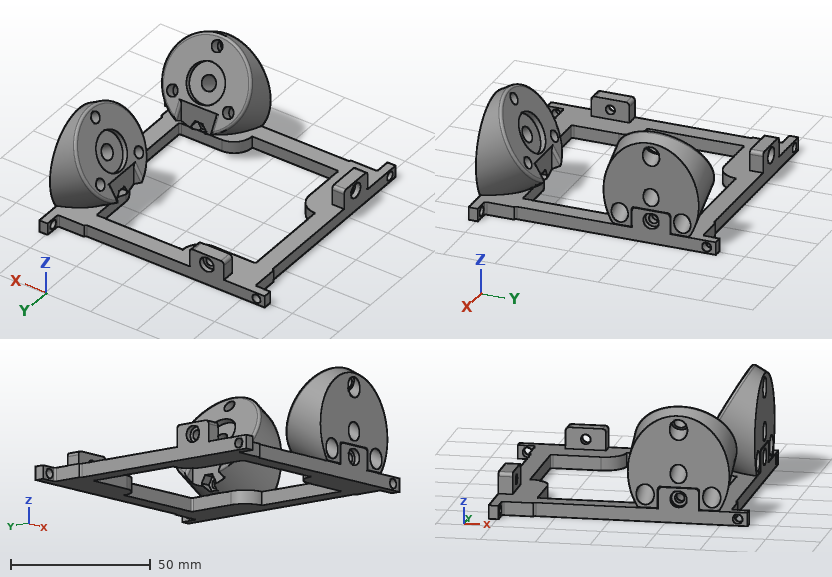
import cadquery as cq
import math

SPAN = 100.0
FRAME_HEIGHT = 5.0
SIDE = 42.86
BAR_WIDTH = 7.14
STEP = 0.71
TAB_THICKNESS = 3.57
TAB_HOLE_DIAMETER = 3.5
PAD_WIDTH = 15.0
PAD_END = 9.55
CORNER_FILLET = 0.7
TIP = SPAN / 2
INNER_SIDE = SIDE - BAR_WIDTH
PAD_SIDE = SIDE - PAD_WIDTH
PAD_RADIUS = PAD_WIDTH - BAR_WIDTH
TAB_HOLE_OFFSET = TIP - TAB_THICKNESS

EAR_OFFSET = 24.9
EAR_WIDTH = 14.8
EAR_THICKNESS = 5.2
EAR_TOP = 12.9
EAR_FILLET = 1.4
BOLT_HEIGHT = 8.75
BOLT_DIAMETER = 3.5
BOLT_HEAD_DIAMETER = 6.0
BOLT_HEAD_DEPTH = 2.2

WEDGE_DIAMETER = 37.0
WEDGE_TILT = 30.0
FACE_DISTANCE = 14.05
FACE_HEIGHT = 26.2
RIM_FILLET = 1.0
WEDGE_GAP = 0.25
RECESS_DIAMETER = 16.0
RECESS_DEPTH = 2.2
CENTRE_HOLE_DIAMETER = 6.0
SCREW_CIRCLE_RADIUS = 14.0
SCREW_COUNT = 3
FIRST_SCREW_ANGLE = 90
SCREW_DIAMETER = 4.5
SCREW_HEAD_DIAMETER = 6.5
SCREW_SEAT_DEPTH = 4.5
NOTCH_WIDTH = 15.0
NOTCH_DISTANCE = 18.55
NUT_CORNERS = 6.5
NUT_SIDES = 6
NUT_DEPTH = 4.0
BIG = 80.0

QUARTER_TURNS = (0, 90, 180, 270)
WEDGE_TURNS = (0, 90)


def rotate_point(point, degrees):
    angle = math.radians(degrees)
    x, y = point
    return (x * math.cos(angle) - y * math.sin(angle), x * math.sin(angle) + y * math.cos(angle))


def round_corners(prism, corners):
    """Fillet the vertical edges at the given corners and at their quarter-turn copies."""
    for turn in QUARTER_TURNS:
        for corner in corners:
            x, y = rotate_point(corner, turn)
            edge = cq.selectors.NearestToPointSelector((x, y, FRAME_HEIGHT / 2))
            prism = prism.edges("|Z").edges(edge).fillet(CORNER_FILLET)
    return prism


def make_outer_prism():
    tab_corner = (-SIDE - STEP, SIDE - TAB_THICKNESS)
    step_corner = (-SIDE, PAD_SIDE)
    corner = [
        (-TIP, SIDE),
        (-TIP, SIDE - TAB_THICKNESS),
        tab_corner,
        (-SIDE - STEP, PAD_SIDE),
        step_corner,
    ]
    points = [rotate_point(p, turn) for turn in QUARTER_TURNS for p in corner]
    prism = cq.Workplane("XY").polyline(points).close().extrude(FRAME_HEIGHT)
    return round_corners(prism, (tab_corner, step_corner))


def make_opening():
    pad_corner = (-INNER_SIDE, PAD_SIDE)
    arc_start = (-PAD_END - PAD_RADIUS, PAD_SIDE)
    arc_reach = PAD_RADIUS * math.sin(math.radians(45))
    arc_middle = (arc_start[0] + arc_reach, INNER_SIDE - arc_reach)
    arc_end = (-PAD_END, INNER_SIDE)
    outline = cq.Workplane("XY").moveTo(-INNER_SIDE, -PAD_END)
    for turn in QUARTER_TURNS:
        outline = outline.lineTo(*rotate_point(pad_corner, -turn))
        outline = outline.lineTo(*rotate_point(arc_start, -turn))
        outline = outline.threePointArc(rotate_point(arc_middle, -turn), rotate_point(arc_end, -turn))
    return round_corners(outline.close().extrude(FRAME_HEIGHT), (pad_corner,))


def bore(x, y, z, diameter, length):
    """Cylinder along +Y starting at the given point."""
    return cq.Workplane(cq.Solid.makeCylinder(diameter / 2, length, cq.Vector(x, y, z), cq.Vector(0, 1, 0)))


def turned(shape, degrees):
    return shape.rotate((0, 0, 0), (0, 0, 1), degrees)


def make_ear():
    ear = cq.Workplane("XY").box(EAR_WIDTH, EAR_THICKNESS, EAR_TOP, centered=(True, False, False))
    ear = ear.edges("|Y and >Z").fillet(EAR_FILLET)
    return ear.translate((EAR_OFFSET, -SIDE, 0))


def make_side_holes():
    holes = bore(EAR_OFFSET, -SIDE, BOLT_HEIGHT, BOLT_DIAMETER, EAR_THICKNESS)
    holes = holes.union(bore(EAR_OFFSET, -SIDE, BOLT_HEIGHT, BOLT_HEAD_DIAMETER, BOLT_HEAD_DEPTH))
    return holes.union(bore(TAB_HOLE_OFFSET, -SIDE, FRAME_HEIGHT / 2, TAB_HOLE_DIAMETER, TAB_THICKNESS))


def make_frame():
    frame = make_outer_prism().cut(make_opening())
    for turn in QUARTER_TURNS:
        frame = frame.union(turned(make_ear(), turn))
    for turn in QUARTER_TURNS:
        frame = frame.cut(turned(make_side_holes(), turn))
    return frame


FACE_CENTRE = (EAR_OFFSET, -SIDE + FACE_DISTANCE, FACE_HEIGHT)
FACE_NORMAL = (0, math.cos(math.radians(WEDGE_TILT)), math.sin(math.radians(WEDGE_TILT)))


def face_plane():
    """Plane on the tilted face: local Y runs up the face, local Z outward."""
    return cq.Workplane(cq.Plane(FACE_CENTRE, (-1, 0, 0), FACE_NORMAL))


def notch():
    """Slot across the lower rim, down to a vertical wall."""
    slot = cq.Workplane("XY").box(NOTCH_WIDTH, BIG, BIG, centered=(True, False, False))
    return slot.translate((EAR_OFFSET, -SIDE + NOTCH_DISTANCE, 0))


def wedge_blank():
    """Notched cylinder with a rounded rim, trimmed by the back face and the gap above the frame."""
    normal = cq.Vector(*FACE_NORMAL)
    blank = face_plane().circle(WEDGE_DIAMETER / 2).extrude(-BIG).cut(notch())
    rim_edges = blank.faces(cq.selectors.DirectionMinMaxSelector(normal)).edges("not |X")
    notch_corner_edges = blank.edges(cq.selectors.ParallelDirSelector(normal)).edges("<Z")
    blank = blank.newObject(rim_edges.vals() + notch_corner_edges.vals()).fillet(RIM_FILLET)
    keep = cq.Workplane("XY").box(BIG, BIG, BIG, centered=(True, False, False))
    return blank.intersect(keep.translate((EAR_OFFSET, -SIDE, FRAME_HEIGHT + WEDGE_GAP)))


def face_holes():
    screws = face_plane().polarArray(SCREW_CIRCLE_RADIUS, FIRST_SCREW_ANGLE, 360, SCREW_COUNT)
    holes = screws.circle(SCREW_DIAMETER / 2).extrude(-BIG)
    heads = face_plane().workplane(offset=-SCREW_SEAT_DEPTH)
    heads = heads.polarArray(SCREW_CIRCLE_RADIUS, FIRST_SCREW_ANGLE, 360, SCREW_COUNT)
    holes = holes.union(heads.circle(SCREW_HEAD_DIAMETER / 2).extrude(-BIG))
    holes = holes.union(face_plane().circle(CENTRE_HOLE_DIAMETER / 2).extrude(-BIG))
    return holes.union(face_plane().circle(RECESS_DIAMETER / 2).extrude(-RECESS_DEPTH))


def ear_pocket():
    width = EAR_WIDTH + 2 * WEDGE_GAP
    pocket = cq.Workplane("XY").box(width, EAR_THICKNESS, EAR_TOP + WEDGE_GAP, centered=(True, False, False))
    pocket = pocket.edges("|Y and >Z").fillet(EAR_FILLET)
    return pocket.translate((EAR_OFFSET, -SIDE, 0))


def bolt_and_nut():
    bolt = bore(EAR_OFFSET, -SIDE, BOLT_HEIGHT, BOLT_DIAMETER, BIG)
    nut = cq.Workplane("XZ").polygon(NUT_SIDES, NUT_CORNERS).extrude(-BIG)
    return bolt.union(nut.translate((EAR_OFFSET, -SIDE + NOTCH_DISTANCE - NUT_DEPTH, BOLT_HEIGHT)))


def make_wedge():
    return wedge_blank().cut(face_holes()).cut(ear_pocket()).cut(bolt_and_nut())


frame = make_frame()
wedges = [turned(make_wedge(), turn) for turn in WEDGE_TURNS]

result = cq.Compound.makeCompound([frame.solids().val(), *[wedge.solids().val() for wedge in wedges]])